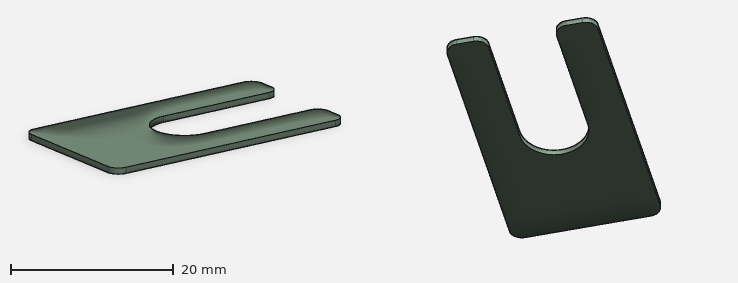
import cadquery as cq

width = 19.05
length = 35.05
thickness = 0.8
corner_radius = 1.58

slot_width = 8.6
slot_floor = 13.18

slot_radius = slot_width / 2
slot_center_y = slot_floor + slot_radius - length / 2


def make_plate():
    return cq.Workplane("XY").box(width, length, thickness)


def make_slot_cutter():
    return (
        cq.Workplane("XY")
        .moveTo(-slot_radius, length / 2)
        .lineTo(-slot_radius, slot_center_y)
        .threePointArc((0, slot_center_y - slot_radius), (slot_radius, slot_center_y))
        .lineTo(slot_radius, length / 2)
        .close()
        .extrude(thickness, both=True)
    )


result = make_plate().cut(make_slot_cutter())
prong_tips = result.faces(">Y").edges("|Z")
base_corners = result.faces("<Y").edges("|Z")
result = prong_tips.add(base_corners).fillet(corner_radius)